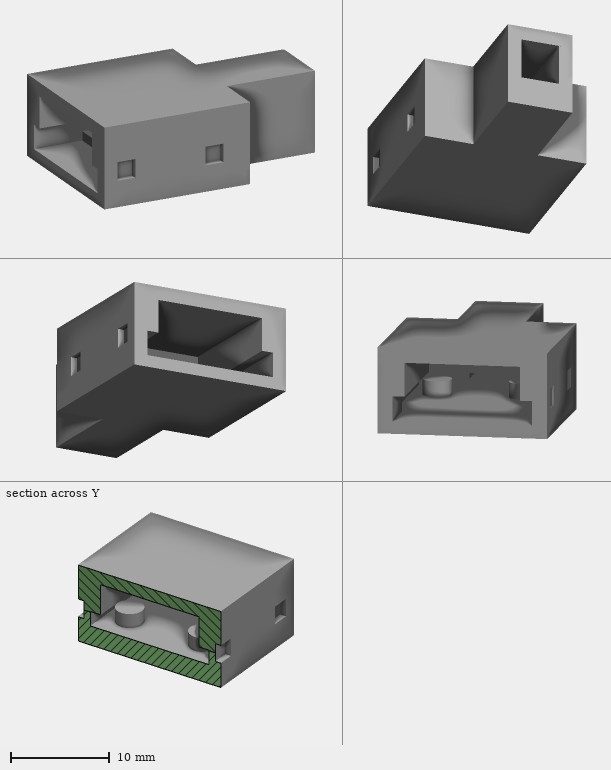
import cadquery as cq

WIDTH = 17.5
LENGTH = 26.5
HEIGHT = 8.85
TAIL_LENGTH = 10.0
TAIL_WIDTH = 7.0
BODY_LENGTH = LENGTH - TAIL_LENGTH

SPLIT_Z = 3.87
LID_PLATE = 1.48
PLATE_Z = HEIGHT - LID_PLATE

BASE_WALL = 1.55
FLOOR = 1.25
LEDGE_Z = 2.25
LEDGE_Y = 5.49
BASE_CAVITY_WIDTH = WIDTH - 2 * BASE_WALL
BASE_CAVITY_END = BODY_LENGTH - BASE_WALL

LID_CAVITY_WIDTH = 11.92
LID_WALL = (WIDTH - LID_CAVITY_WIDTH) / 2
LID_CAVITY_END = BODY_LENGTH - LID_WALL

POST_DIAMETER = 3.0
POST_X = (LID_CAVITY_WIDTH - POST_DIAMETER) / 2
POST_Y = (LEDGE_Y + BASE_CAVITY_END) / 2

CHANNEL_WIDTH = 4.03
CHANNEL_Z = 3.05

RECESS_SIZE = 2.01
RECESS_DEPTH = 0.7
RECESS_FIRST_Y = 2.5
RECESS_PITCH = 10.0


def block(width, y_range, z_range, center_x=0):
    """Box of the given X width, spanning the given Y and Z ranges."""
    y_start, y_end = y_range
    z_start, z_end = z_range
    box = cq.Workplane("XY").box(width, y_end - y_start, z_end - z_start, centered=(True, False, False))
    return box.translate((center_x, y_start, z_start))


def cut_side_recesses(body):
    """Cut the shared square recesses into both side faces of a body."""
    z_range = (SPLIT_Z - RECESS_SIZE / 2, SPLIT_Z + RECESS_SIZE / 2)
    recess_x = (WIDTH - RECESS_DEPTH) / 2
    for side in (-1, 1):
        for index in range(2):
            center_y = RECESS_FIRST_Y + index * RECESS_PITCH
            y_range = (center_y - RECESS_SIZE / 2, center_y + RECESS_SIZE / 2)
            body = body.cut(block(RECESS_DEPTH, y_range, z_range, side * recess_x))
    return body


def make_base():
    """Open-fronted tray with a raised ledge, two posts and a channelled tail."""
    base = block(WIDTH, (0, BODY_LENGTH), (0, SPLIT_Z))
    base = base.union(block(TAIL_WIDTH, (BODY_LENGTH, LENGTH), (0, PLATE_Z)))

    base = base.cut(block(BASE_CAVITY_WIDTH, (0, LEDGE_Y), (FLOOR, SPLIT_Z)))
    base = base.cut(block(BASE_CAVITY_WIDTH, (LEDGE_Y, BASE_CAVITY_END), (LEDGE_Z, SPLIT_Z)))

    base = base.cut(block(CHANNEL_WIDTH, (BASE_CAVITY_END, LENGTH), (CHANNEL_Z, PLATE_Z)))

    posts = (
        cq.Workplane("XY", origin=(0, 0, LEDGE_Z))
        .pushPoints([(-POST_X, POST_Y), (POST_X, POST_Y)])
        .circle(POST_DIAMETER / 2)
        .extrude(SPLIT_Z - LEDGE_Z)
    )
    return cut_side_recesses(base.union(posts))


def make_lid():
    """Open-fronted cover whose top plate continues over the tail."""
    lid = block(WIDTH, (0, BODY_LENGTH), (SPLIT_Z, HEIGHT))
    lid = lid.union(block(TAIL_WIDTH, (BODY_LENGTH, LENGTH), (PLATE_Z, HEIGHT)))
    lid = lid.cut(block(LID_CAVITY_WIDTH, (0, LID_CAVITY_END), (SPLIT_Z, PLATE_Z)))
    return cut_side_recesses(lid)


base = make_base()
lid = make_lid()

result = cq.Compound.makeCompound([base.solids().val(), lid.solids().val()])